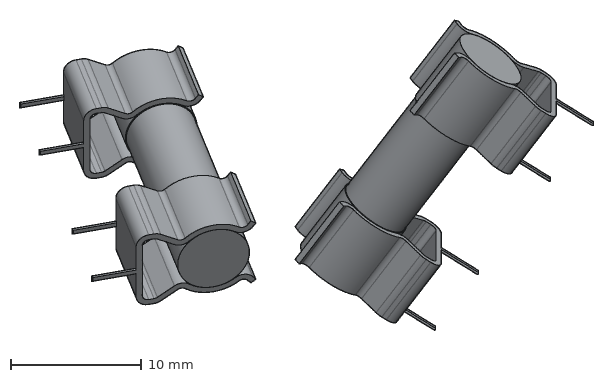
import cadquery as cq
import math

fuse_length = 21.5
clip_width = 6.0
tube_diameter = 5.54
cap_diameter = 5.7
cap_length = clip_width
cap_radius = cap_diameter / 2

thickness = 0.5
clip_height = 7.0
base_distance = 6.15
bend_radius = 0.75
grip_radius = 3.3
grip_angle_base_side = 39.5
grip_angle_mouth_side = 35.0
shoulder_slope = 32.0
flare_slope = 52.0
lip_length = 0.4

pin_length = 3.5
pin_width = 0.2
pin_height = 0.5
pin_crown = 0.07

crown_height = cap_radius + thickness / 2
top_height = (clip_height - thickness) / 2
base_middle = base_distance - thickness / 2


def rise(radius, start_slope, end_slope):
    """Height gained along a bend that turns between two slopes in degrees."""
    return radius * abs(math.cos(math.radians(start_slope)) - math.cos(math.radians(end_slope)))


def run(radius, start_slope, end_slope):
    """Distance covered along a bend that turns between two slopes in degrees."""
    return radius * abs(math.sin(math.radians(end_slope)) - math.sin(math.radians(start_slope)))


valley_height = (
    crown_height
    - rise(grip_radius, 0, grip_angle_base_side)
    - rise(bend_radius, grip_angle_base_side, 0)
)
shoulder_rise = top_height - valley_height - 2 * rise(bend_radius, 0, shoulder_slope)
shoulder_length = shoulder_rise / math.sin(math.radians(shoulder_slope))
shoulder_end = (
    run(grip_radius, 0, grip_angle_base_side)
    + run(bend_radius, grip_angle_base_side, 0)
    + 2 * run(bend_radius, 0, shoulder_slope)
    + shoulder_length * math.cos(math.radians(shoulder_slope))
)
top_flat_length = base_middle - bend_radius - shoulder_end
base_half_length = top_height - bend_radius

ARM = [
    ("straight", lip_length),
    ("bend", bend_radius, flare_slope + grip_angle_mouth_side),
    ("bend", grip_radius, -(grip_angle_mouth_side + grip_angle_base_side)),
    ("bend", bend_radius, grip_angle_base_side + shoulder_slope),
    ("straight", shoulder_length),
    ("bend", bend_radius, -shoulder_slope),
    ("straight", top_flat_length),
    ("bend", bend_radius, -90.0),
    ("straight", base_half_length),
]


def lip_tip():
    """Centreline point at the free end of the upper arm, as (distance towards -Y, Z)."""
    slope = math.radians(flare_slope)
    distance = -(
        run(grip_radius, 0, grip_angle_mouth_side)
        + run(bend_radius, grip_angle_mouth_side, 0)
        + run(bend_radius, 0, flare_slope)
        + lip_length * math.cos(slope)
    )
    height = (
        crown_height
        - rise(grip_radius, 0, grip_angle_mouth_side)
        - rise(bend_radius, grip_angle_mouth_side, 0)
        + rise(bend_radius, 0, flare_slope)
        + lip_length * math.sin(slope)
    )
    return distance, height


def offset_point(point, heading, offset):
    """Point moved to the left of the heading (degrees) by the offset."""
    angle = math.radians(heading + 90)
    return point[0] + offset * math.cos(angle), point[1] + offset * math.sin(angle)


def trace_arm(offset):
    """Start point of an arm face and its stretches as (mid point or None, end point)."""
    point = lip_tip()
    heading = -flare_slope
    start = offset_point(point, heading, offset)
    stretches = []
    for kind, size, *turn in ARM:
        if kind == "straight":
            point = offset_point(point, heading - 90, size)
            stretches.append((None, offset_point(point, heading, offset)))
        else:
            side = math.copysign(1, turn[0])
            centre = offset_point(point, heading, side * size)
            middle = offset_point(centre, heading + turn[0] / 2, offset - side * size)
            heading += turn[0]
            point = offset_point(centre, heading, -side * size)
            stretches.append((middle, offset_point(point, heading, offset)))
    return start, stretches


def draw(sketch, middle, end):
    """Add one straight or curved stretch to a sketch."""
    if middle is None:
        return sketch.lineTo(*end)
    return sketch.threePointArc(middle, end)


def make_arm(x_start):
    """Upper half of a clip strip; the plane's local axes are -Y and Z, its normal is -X."""
    outer_start, outer = trace_arm(thickness / 2)
    inner_start, inner = trace_arm(-thickness / 2)
    plane = cq.Plane(origin=(x_start, 0, 0), xDir=(0, -1, 0), normal=(-1, 0, 0))
    sketch = cq.Workplane(plane).moveTo(*outer_start)
    for middle, end in outer:
        sketch = draw(sketch, middle, end)
    sketch = sketch.lineTo(*inner[-1][1])
    inner_ends = [inner_start] + [end for _, end in inner[:-1]]
    for (middle, _), end in zip(reversed(inner), reversed(inner_ends)):
        sketch = draw(sketch, middle, end)
    return sketch.close().extrude(-clip_width)


def make_pin(x_start):
    """Blade pin with crowned edges, rooted in the clip base and pointing towards -Y."""
    root = -base_distance + thickness / 2
    tip = -base_distance - pin_length
    x_end = x_start + pin_width
    x_middle = x_start + pin_width / 2
    crown_z = pin_height / 2
    edge_z = crown_z - pin_crown
    section = (
        cq.Workplane("XZ", origin=(0, root, 0))
        .moveTo(x_start, -edge_z)
        .lineTo(x_start, edge_z)
        .threePointArc((x_middle, crown_z), (x_end, edge_z))
        .lineTo(x_end, -edge_z)
        .threePointArc((x_middle, -crown_z), (x_start, -edge_z))
        .close()
        .extrude(root - tip)
    )
    plan = (
        cq.Workplane("XY", origin=(0, 0, -crown_z))
        .moveTo(x_start, root)
        .lineTo(x_start, tip + pin_crown)
        .threePointArc((x_middle, tip), (x_end, tip + pin_crown))
        .lineTo(x_end, root)
        .close()
        .extrude(pin_height)
    )
    return section.intersect(plan)


def make_clip(x_start):
    arm = make_arm(x_start)
    clip = arm.union(arm.mirror("XY"))
    for pin_x in (x_start, x_start + clip_width - pin_width):
        clip = clip.union(make_pin(pin_x))
    return clip


def make_fuse():
    fuse = cq.Workplane("YZ").circle(tube_diameter / 2).extrude(fuse_length)
    for cap_x in (0, fuse_length - cap_length):
        cap = cq.Workplane("YZ", origin=(cap_x, 0, 0)).circle(cap_radius).extrude(cap_length)
        fuse = fuse.union(cap)
    return fuse


fuse = make_fuse()
clips = [make_clip(x_start) for x_start in (0, fuse_length - clip_width)]

result = cq.Compound.makeCompound([fuse.val(), *[clip.val() for clip in clips]])